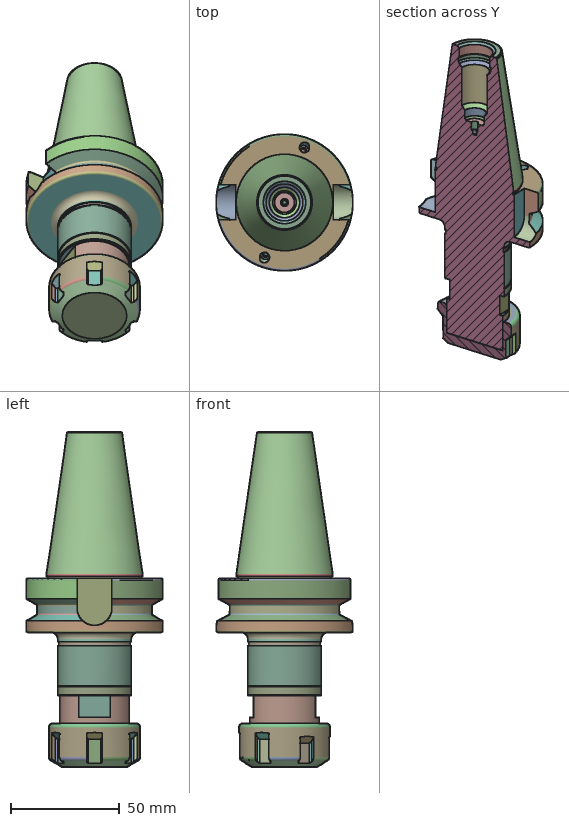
import cadquery as cq
import math

GAUGE_RADIUS = 44.45 / 2
TAPER_LENGTH = 65.4
TAPER_PER_SIDE = 7 / 24 / 2
TAPER_TOP_RADIUS = GAUGE_RADIUS - TAPER_LENGTH * TAPER_PER_SIDE
TAPER_TOP_CHAMFER = 0.5
RELIEF_RADIUS = 21.7
RELIEF_TOP = -1.1

FLANGE_RADIUS = 63 / 2
FLANGE_TOP = -2.0
FLANGE_BOTTOM = -27.0
FLANGE_ROUND = 1.0
V_GROOVE_RADIUS = 53 / 2
V_GROOVE_CENTRE = -16.6
V_GROOVE_FLOOR_WIDTH = 4.4
V_GROOVE_FILLET = 0.8
V_GROOVE_FLANK = math.radians(30)

KEYWAY_WIDTH = 16.1
KEYWAY_FLOOR_X = 22.5
KEYWAY_BOTTOM = -23.7

COOLANT_DIAMETER = 4.5
COOLANT_PITCH_RADIUS = 27.0
COOLANT_ANGLES = (70, 250)
COOLANT_TILT = 20
COOLANT_DEPTH = 4.0
COOLANT_TIP_DIAMETER = 2.4
COOLANT_TIP_DEPTH = 6.0

NECK_RADIUS = 34 / 2
NECK_FILLET = 3.0
NECK_GROOVE_RADIUS = 16.5
NECK_GROOVE_TOP = -31.2
NECK_GROOVE_BOTTOM = -33.2
MARK_GROOVE_Z = -51.7
MARK_GROOVE_DEPTH = 0.25
NECK_BOTTOM = -56.2
NECK_CHAMFER = 0.5

NOSE_RADIUS = 16.0
NOSE_FLATS_WIDTH = 28.6
FLATS_BOTTOM = -66.0

ASSEMBLY_BOTTOM = -89.0
NUT_TOP = -68.8
NUT_RADIUS = 42 / 2
NUT_TOP_ROUND = 1.8
NUT_FACE_RADIUS = 14.8
NUT_CONE_ANGLE = math.radians(30)
NUT_CONE_ROUND = 1.8
NUT_FLOOR_THICKNESS = 5.0
NUT_MOUTH_ROUND = 1.2
NOSE_BOTTOM = ASSEMBLY_BOTTOM + NUT_FLOOR_THICKNESS

HIGH_SLOT_ANGLES = (120, 180, 240)
LOW_SLOT_ANGLES = (300, 0, 60)
HIGH_SLOT_TOP = -73.0
LOW_SLOT_TOP = -74.8
SLOT_FLOOR_RADIUS = 17.9
SLOT_WIDTH = 7.2
SLOT_FLOOR_CHAMFER = 0.8

BORE_RADIUS = 17 / 2
BORE_MOUTH_RADIUS = 9.75
BORE_MOUTH_DEPTH = 1.0
UNDERCUT_RADIUS = 9.0
UNDERCUT_TOP_DEPTH = 6.0
UNDERCUT_BOTTOM_DEPTH = 8.0
UNDERCUT_RUNOUT_DEPTH = 9.0
THREAD_RADIUS = 7.0
THREAD_TOP_DEPTH = 10.5
THREAD_DEPTH = 30.0
TAIL_RADIUS = 5.4
TAIL_TOP_DEPTH = 32.0
TAIL_DEPTH = 36.0
TAIL_FLOOR_RADIUS = 4.6
TAIL_FLOOR_DEPTH = 37.0
CENTRE_HOLE_RADIUS = 1.7
CENTRE_HOLE_DEPTH = 4.0
CENTRE_TIP_RADIUS = 1.0
CENTRE_TIP_DEPTH = 6.0

CUT_MARGIN = 5.0
EDGE_MARGIN = 0.5
ROUND_MIDPOINT = 1 - math.sqrt(0.5)


def revolve_about_z(outline):
    """Close an outline drawn as radius against height and turn it about Z."""
    return outline.close().revolve(360, (0, 0, 0), (0, 1, 0))


def taper_and_flange():
    half_floor = V_GROOVE_FLOOR_WIDTH / 2
    flank_height = (FLANGE_RADIUS - V_GROOVE_RADIUS) * math.tan(V_GROOVE_FLANK)
    half_mouth = half_floor + flank_height
    round_45 = FLANGE_ROUND * ROUND_MIDPOINT
    outline = (
        cq.Workplane("XZ")
        .moveTo(0, TAPER_LENGTH)
        .lineTo(TAPER_TOP_RADIUS - TAPER_TOP_CHAMFER, TAPER_LENGTH)
        .lineTo(TAPER_TOP_RADIUS + TAPER_TOP_CHAMFER * TAPER_PER_SIDE, TAPER_LENGTH - TAPER_TOP_CHAMFER)
        .lineTo(GAUGE_RADIUS, 0)
        .lineTo(GAUGE_RADIUS, RELIEF_TOP)
        .lineTo(RELIEF_RADIUS, RELIEF_TOP)
        .lineTo(RELIEF_RADIUS, FLANGE_TOP)
        .lineTo(FLANGE_RADIUS - FLANGE_ROUND, FLANGE_TOP)
        .threePointArc(
            (FLANGE_RADIUS - round_45, FLANGE_TOP - round_45),
            (FLANGE_RADIUS, FLANGE_TOP - FLANGE_ROUND),
        )
        .lineTo(FLANGE_RADIUS, V_GROOVE_CENTRE + half_mouth)
        .lineTo(V_GROOVE_RADIUS, V_GROOVE_CENTRE + half_floor)
        .lineTo(V_GROOVE_RADIUS, V_GROOVE_CENTRE - half_floor)
        .lineTo(FLANGE_RADIUS, V_GROOVE_CENTRE - half_mouth)
        .lineTo(FLANGE_RADIUS, FLANGE_BOTTOM + FLANGE_ROUND)
        .threePointArc(
            (FLANGE_RADIUS - round_45, FLANGE_BOTTOM + round_45),
            (FLANGE_RADIUS - FLANGE_ROUND, FLANGE_BOTTOM),
        )
        .lineTo(0, FLANGE_BOTTOM)
    )
    groove_corners = cq.selectors.BoxSelector(
        (-FLANGE_RADIUS, -FLANGE_RADIUS, V_GROOVE_CENTRE - half_mouth + EDGE_MARGIN),
        (FLANGE_RADIUS, FLANGE_RADIUS, V_GROOVE_CENTRE + half_mouth - EDGE_MARGIN),
    )
    return revolve_about_z(outline).edges("%CIRCLE").edges(groove_corners).fillet(V_GROOVE_FILLET)


def neck_and_nose():
    fillet_45 = NECK_FILLET * ROUND_MIDPOINT
    outline = (
        cq.Workplane("XZ")
        .moveTo(0, FLANGE_BOTTOM)
        .lineTo(NECK_RADIUS + NECK_FILLET, FLANGE_BOTTOM)
        .threePointArc(
            (NECK_RADIUS + fillet_45, FLANGE_BOTTOM - fillet_45),
            (NECK_RADIUS, FLANGE_BOTTOM - NECK_FILLET),
        )
        .lineTo(NECK_RADIUS, NECK_GROOVE_TOP)
        .lineTo(NECK_GROOVE_RADIUS, NECK_GROOVE_TOP)
        .lineTo(NECK_GROOVE_RADIUS, NECK_GROOVE_BOTTOM)
        .lineTo(NECK_RADIUS, NECK_GROOVE_BOTTOM)
        .lineTo(NECK_RADIUS, MARK_GROOVE_Z + MARK_GROOVE_DEPTH)
        .lineTo(NECK_RADIUS - MARK_GROOVE_DEPTH, MARK_GROOVE_Z)
        .lineTo(NECK_RADIUS, MARK_GROOVE_Z - MARK_GROOVE_DEPTH)
        .lineTo(NECK_RADIUS, NECK_BOTTOM + NECK_CHAMFER)
        .lineTo(NECK_RADIUS - NECK_CHAMFER, NECK_BOTTOM)
        .lineTo(NOSE_RADIUS, NECK_BOTTOM)
        .lineTo(NOSE_RADIUS, NOSE_BOTTOM)
        .lineTo(0, NOSE_BOTTOM)
    )
    return revolve_about_z(outline)


def stepped_bore():
    steps = (
        (BORE_MOUTH_RADIUS, 0),
        (BORE_RADIUS, BORE_MOUTH_DEPTH),
        (BORE_RADIUS, UNDERCUT_TOP_DEPTH),
        (UNDERCUT_RADIUS, UNDERCUT_TOP_DEPTH),
        (UNDERCUT_RADIUS, UNDERCUT_BOTTOM_DEPTH),
        (BORE_RADIUS, UNDERCUT_RUNOUT_DEPTH),
        (THREAD_RADIUS, THREAD_TOP_DEPTH),
        (THREAD_RADIUS, THREAD_DEPTH),
        (TAIL_RADIUS, TAIL_TOP_DEPTH),
        (TAIL_RADIUS, TAIL_DEPTH),
        (TAIL_FLOOR_RADIUS, TAIL_FLOOR_DEPTH),
        (CENTRE_HOLE_RADIUS, TAIL_FLOOR_DEPTH),
        (CENTRE_HOLE_RADIUS, TAIL_FLOOR_DEPTH + CENTRE_HOLE_DEPTH),
        (CENTRE_TIP_RADIUS, TAIL_FLOOR_DEPTH + CENTRE_HOLE_DEPTH),
        (CENTRE_TIP_RADIUS, TAIL_FLOOR_DEPTH + CENTRE_TIP_DEPTH),
        (0, TAIL_FLOOR_DEPTH + CENTRE_TIP_DEPTH),
    )
    outline = cq.Workplane("XZ").moveTo(0, TAPER_LENGTH)
    for radius, depth in steps:
        outline = outline.lineTo(radius, TAPER_LENGTH - depth)
    return revolve_about_z(outline)


def keyway():
    """Round-bottomed keyway on the +X side, open at the top and outside."""
    end_radius = KEYWAY_WIDTH / 2
    end_centre = KEYWAY_BOTTOM + end_radius
    return (
        cq.Workplane("YZ", origin=(KEYWAY_FLOOR_X, 0, 0))
        .moveTo(-end_radius, FLANGE_TOP)
        .lineTo(-end_radius, end_centre)
        .threePointArc((0, KEYWAY_BOTTOM), (end_radius, end_centre))
        .lineTo(end_radius, FLANGE_TOP)
        .close()
        .extrude(FLANGE_RADIUS)
    )


def coolant_hole(angle):
    """Stepped blind hole leaning towards the axis as it goes down."""
    tip = cq.Workplane("XY").circle(COOLANT_TIP_DIAMETER / 2).extrude(-COOLANT_TIP_DEPTH)
    return (
        cq.Workplane("XY")
        .circle(COOLANT_DIAMETER / 2)
        .extrude(COOLANT_DEPTH + CUT_MARGIN)
        .translate((0, 0, -COOLANT_DEPTH))
        .union(tip)
        .rotate((0, 0, 0), (0, 1, 0), COOLANT_TILT)
        .translate((COOLANT_PITCH_RADIUS, 0, FLANGE_TOP))
        .rotate((0, 0, 0), (0, 0, 1), angle)
    )


def wrench_flat():
    """Material to remove from the +X side of the nose."""
    height = NECK_BOTTOM - FLATS_BOTTOM
    return (
        cq.Workplane("XY")
        .box(NOSE_RADIUS, 2 * NOSE_RADIUS, height, centered=(False, True, False))
        .translate((NOSE_FLATS_WIDTH / 2, 0, FLATS_BOTTOM))
    )


def make_holder():
    holder = taper_and_flange().union(neck_and_nose()).cut(stepped_bore())
    for side in (0, 180):
        holder = holder.cut(keyway().rotate((0, 0, 0), (0, 0, 1), side))
        holder = holder.cut(wrench_flat().rotate((0, 0, 0), (0, 0, 1), side))
    for angle in COOLANT_ANGLES:
        holder = holder.cut(coolant_hole(angle))
    return holder


def nut_blank():
    cone_height = (NUT_RADIUS - NUT_FACE_RADIUS) * math.tan(NUT_CONE_ANGLE)
    cone_top = ASSEMBLY_BOTTOM + cone_height
    round_45 = NUT_TOP_ROUND * ROUND_MIDPOINT
    mouth_45 = NUT_MOUTH_ROUND * ROUND_MIDPOINT
    turn = math.pi / 2 - NUT_CONE_ANGLE
    tangent = NUT_CONE_ROUND * math.tan(turn / 2)
    blend_start = cone_top + tangent
    blend_centre_radius = NUT_RADIUS - NUT_CONE_ROUND
    outline = (
        cq.Workplane("XZ")
        .moveTo(NOSE_RADIUS, NOSE_BOTTOM)
        .lineTo(NOSE_RADIUS, NUT_TOP - NUT_MOUTH_ROUND)
        .threePointArc(
            (NOSE_RADIUS + mouth_45, NUT_TOP - mouth_45),
            (NOSE_RADIUS + NUT_MOUTH_ROUND, NUT_TOP),
        )
        .lineTo(NUT_RADIUS - NUT_TOP_ROUND, NUT_TOP)
        .threePointArc(
            (NUT_RADIUS - round_45, NUT_TOP - round_45),
            (NUT_RADIUS, NUT_TOP - NUT_TOP_ROUND),
        )
        .lineTo(NUT_RADIUS, blend_start)
        .threePointArc(
            (
                blend_centre_radius + NUT_CONE_ROUND * math.cos(turn / 2),
                blend_start - NUT_CONE_ROUND * math.sin(turn / 2),
            ),
            (
                blend_centre_radius + NUT_CONE_ROUND * math.cos(turn),
                blend_start - NUT_CONE_ROUND * math.sin(turn),
            ),
        )
        .lineTo(NUT_FACE_RADIUS, ASSEMBLY_BOTTOM)
        .lineTo(0, ASSEMBLY_BOTTOM)
        .lineTo(0, NOSE_BOTTOM)
    )
    return revolve_about_z(outline)


def wrench_slot(top, angle):
    """Slot with chamfered floor edges and a 45-degree upper end, open at the bottom of the nut."""
    bottom = ASSEMBLY_BOTTOM - CUT_MARGIN
    depth = NUT_RADIUS - SLOT_FLOOR_RADIUS
    outer = NUT_RADIUS + CUT_MARGIN
    return (
        cq.Workplane("XZ")
        .moveTo(outer, bottom)
        .lineTo(SLOT_FLOOR_RADIUS, bottom)
        .lineTo(SLOT_FLOOR_RADIUS, top - depth)
        .lineTo(NUT_RADIUS, top)
        .lineTo(outer, top)
        .close()
        .extrude(SLOT_WIDTH / 2, both=True)
        .edges("|Z and <X")
        .chamfer(SLOT_FLOOR_CHAMFER)
        .rotate((0, 0, 0), (0, 0, 1), angle)
    )


def make_nut():
    nut = nut_blank()
    for angle in HIGH_SLOT_ANGLES:
        nut = nut.cut(wrench_slot(HIGH_SLOT_TOP, angle))
    for angle in LOW_SLOT_ANGLES:
        nut = nut.cut(wrench_slot(LOW_SLOT_TOP, angle))
    return nut


holder = make_holder()
nut = make_nut()

result = cq.Compound.makeCompound([holder.val(), nut.val()])